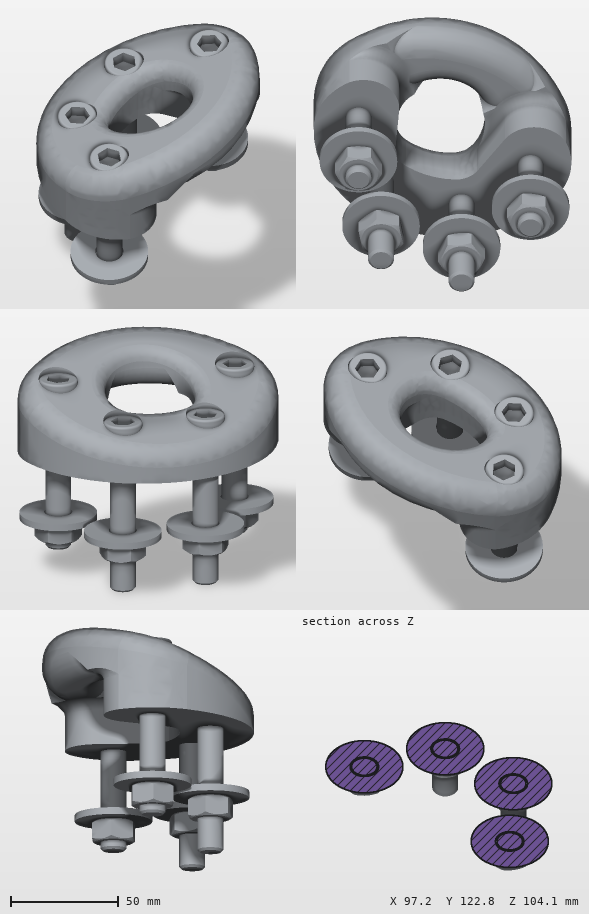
import cadquery as cq
import math

BODY_LENGTH = 97.2
BACK_RADIUS = 63.0
FRONT_RADIUS = 72.8
END_RADIUS = 31.2
TOP_TILT = 20.0
TOP_HEIGHT_AT_BACK = 14.5
OUTER_EDGE_RADIUS = 10.0
BLANK_HEIGHT = 73.6

HOLE_CENTER_X = 49.7
HOLE_RADIUS = 20.7
HOLE_BACK_X = 34.5
HOLE_BACK_RADIUS = 40.5
HOLE_CORNER_RADIUS = 12.3
HOLE_EDGE_RADIUS = 7.0

SLOT_HEIGHT = 21.1
SLOT_FILLET = 4.8
ARM_END_RADIUS = 16.6
ARM_END_X = 62.0
ARM_WALL_ANGLE = 15.0
ARM_OUTER_ANGLE = 48.0
SLOT_FRONT_X = BODY_LENGTH + 12.3
SLOT_RUN_OUT = 7.4

LIP_RADIUS = 10.7
LIP_BACK_X = 61.4
LIP_TOP_HALF_WIDTHS = (8.6, 35.8)
LIP_BOTTOM_HALF_WIDTHS = (16.6, 60.1)

HEAD_DIAMETER = 18.0
HEAD_HEIGHT = 12.0
HEAD_EDGE_RADIUS = 1.1
COUNTERBORE_DIAMETER = 18.2
SHANK_DIAMETER = 12.0
SHANK_LENGTH = 70.2
SHANK_CHAMFER = 1.1
SOCKET_WIDTH = 10.0
SOCKET_DEPTH = 6.0
SOCKET_TIP_DEPTH = 1.8
WASHER_DIAMETER = 36.0
WASHER_HOLE_DIAMETER = 13.0
WASHER_THICKNESS = 3.2
WASHER_TOP_Z = -29.8
NUT_WIDTH = 19.0
NUT_HEIGHT = 9.8
NUT_CHAMFER_HEIGHT = 1.3
NUT_FACE_DIAMETER = 18.0

BOLTS = (
    (23.4, 19.8, 23.7, 8.0, 5.0),
    (23.4, -19.8, 23.7, 30.0, 30.0),
    (55.8, 42.2, 35.5, 38.0, 20.0),
    (55.8, -42.2, 35.5, 12.5, 12.5),
)


def disc(x, y, bottom, diameter, height):
    """Upright cylinder standing on Z = bottom."""
    return cq.Workplane("XY", origin=(x, y, bottom)).circle(diameter / 2).extrude(height)


def hexagon(x, y, bottom, width, height, turn):
    """Upright hexagonal prism, width measured across flats."""
    corner_diameter = width / math.cos(math.radians(30))
    prism = cq.Workplane("XY").polygon(6, corner_diameter).extrude(height)
    return prism.rotate((0, 0, 0), (0, 0, 1), turn).translate((x, y, bottom))


def lens(first_x, first_radius, second_x, second_radius, corner_radius):
    """Column common to two upright cylinders, with its two sharp corners rounded."""
    column = disc(first_x, 0, 0, 2 * first_radius, BLANK_HEIGHT)
    column = column.intersect(disc(second_x, 0, 0, 2 * second_radius, BLANK_HEIGHT))
    return column.edges("|Z").fillet(corner_radius)


def outer_column():
    return lens(BACK_RADIUS, BACK_RADIUS, BODY_LENGTH - FRONT_RADIUS, FRONT_RADIUS, END_RADIUS)


def hole_column():
    return lens(HOLE_CENTER_X, HOLE_RADIUS, HOLE_BACK_X + HOLE_BACK_RADIUS, HOLE_BACK_RADIUS,
                HOLE_CORNER_RADIUS)


def tilted_ring():
    """Ring under the tilted top plane, rounded along its outer and inner top edges."""
    slope = math.tan(math.radians(TOP_TILT))
    front_height = TOP_HEIGHT_AT_BACK + BODY_LENGTH * slope
    wedge = (
        cq.Workplane("XZ")
        .polyline([(0, 0), (BODY_LENGTH, 0), (BODY_LENGTH, front_height), (0, TOP_HEIGHT_AT_BACK)])
        .close()
        .extrude(BODY_LENGTH, both=True)
    )
    top_direction = cq.Vector(-math.sin(math.radians(TOP_TILT)), 0, math.cos(math.radians(TOP_TILT)))
    top_face = cq.selectors.DirectionNthSelector(top_direction, -1)
    plate = outer_column().intersect(wedge)
    plate = plate.faces(top_face).edges().fillet(OUTER_EDGE_RADIUS)
    ring = plate.cut(hole_column())
    return ring.faces(top_face).wires(cq.selectors.LengthNthSelector(0)).fillet(HOLE_EDGE_RADIUS)


def point_around(center_x, center_y, radius, angle):
    turn = math.radians(angle)
    return (center_x + radius * math.cos(turn), center_y + radius * math.sin(turn))


def slot():
    """Opening under the lip. The inner wall of each arm leaves the hole tangentially, runs
    straight and then rounds the end of the arm."""
    wall_turn = math.radians(ARM_WALL_ANGLE)
    wall_side = ARM_WALL_ANGLE - 90
    arm_distance = HOLE_RADIUS + ARM_END_RADIUS + (ARM_END_X - HOLE_CENTER_X) * math.sin(wall_turn)
    arm_center = (ARM_END_X, arm_distance / math.cos(wall_turn))
    wall_start = point_around(HOLE_CENTER_X, 0, HOLE_RADIUS, wall_side + 180)
    wall_end = point_around(*arm_center, ARM_END_RADIUS, wall_side)
    arm_nose = point_around(*arm_center, ARM_END_RADIUS, (wall_side + ARM_OUTER_ANGLE) / 2)
    arm_outside = point_around(*arm_center, ARM_END_RADIUS, ARM_OUTER_ANGLE)
    run_out = point_around(*arm_outside, SLOT_RUN_OUT, ARM_OUTER_ANGLE + 90)

    half = (
        cq.Workplane("XY")
        .moveTo(wall_start[0], 0)
        .lineTo(*wall_start)
        .lineTo(*wall_end)
        .threePointArc(arm_nose, arm_outside)
        .lineTo(*run_out)
        .lineTo(SLOT_FRONT_X, run_out[1])
        .lineTo(SLOT_FRONT_X, 0)
        .close()
        .extrude(SLOT_HEIGHT)
    )
    roof_edges = cq.selectors.BoxSelector(
        (wall_start[0] + 1.2, 1.2, SLOT_HEIGHT - 1.2), (arm_outside[0] + 1.2, run_out[1] - 1.2, SLOT_HEIGHT + 1.2))
    half = half.edges(roof_edges).fillet(SLOT_FILLET)
    return half.union(half.mirror("XZ"))


def lip_relief():
    """Material outside the rounded underside of the lip, between two slanted ends."""
    def outline(plane, half_widths):
        back, front = half_widths
        return plane.polyline([
            (LIP_BACK_X, -back), (SLOT_FRONT_X, -front), (SLOT_FRONT_X, front), (LIP_BACK_X, back),
        ]).close()

    stretch = outline(cq.Workplane("XY", origin=(0, 0, SLOT_HEIGHT)), LIP_BOTTOM_HALF_WIDTHS)
    stretch = outline(stretch.workplane(offset=LIP_RADIUS), LIP_TOP_HALF_WIDTHS).loft(ruled=True)
    rounded_lip = outer_column().cut(hole_column()).translate((0, 0, SLOT_HEIGHT))
    rounded_lip = rounded_lip.faces("<Z").edges().fillet(LIP_RADIUS)
    return stretch.cut(rounded_lip)


def bolt(x, y, head_top, turn):
    """Socket head bolt."""
    seat = head_top - HEAD_HEIGHT
    head = disc(x, y, seat, HEAD_DIAMETER, HEAD_HEIGHT).faces(">Z").edges().fillet(HEAD_EDGE_RADIUS)
    shank = disc(x, y, seat - SHANK_LENGTH, SHANK_DIAMETER, SHANK_LENGTH)
    shank = shank.faces("<Z").chamfer(SHANK_CHAMFER)
    socket_floor = head_top - SOCKET_DEPTH
    socket = hexagon(x, y, socket_floor, SOCKET_WIDTH, SOCKET_DEPTH, turn)
    tip = cq.Solid.makeCone(0, SOCKET_WIDTH / 2, SOCKET_TIP_DEPTH,
                            pnt=cq.Vector(x, y, socket_floor - SOCKET_TIP_DEPTH))
    return head.union(shank).cut(socket).cut(cq.Workplane(tip))


def nut_and_washer(x, y, turn):
    """Large washer with a hexagon nut under it, corners chamfered on both ends of the nut."""
    washer_bottom = WASHER_TOP_Z - WASHER_THICKNESS
    washer = disc(x, y, washer_bottom, WASHER_DIAMETER, WASHER_THICKNESS)
    washer = washer.cut(disc(x, y, washer_bottom, WASHER_HOLE_DIAMETER, WASHER_THICKNESS))

    nut_bottom = washer_bottom - NUT_HEIGHT
    corner_diameter = NUT_WIDTH / math.cos(math.radians(30))
    chamfer_width = (corner_diameter - NUT_FACE_DIAMETER) / 2
    envelope = disc(x, y, nut_bottom, corner_diameter, NUT_HEIGHT)
    envelope = envelope.faces("<Z or >Z").edges().chamfer(NUT_CHAMFER_HEIGHT, chamfer_width)
    nut = hexagon(x, y, nut_bottom, NUT_WIDTH, NUT_HEIGHT, turn).intersect(envelope)
    return washer.union(nut)


result = tilted_ring().cut(slot()).cut(lip_relief())
for bolt_x, bolt_y, head_top_z, socket_turn, nut_turn in BOLTS:
    counterbore_floor = head_top_z - HEAD_HEIGHT
    result = result.cut(disc(bolt_x, bolt_y, counterbore_floor, COUNTERBORE_DIAMETER, BLANK_HEIGHT))
    result = result.union(bolt(bolt_x, bolt_y, head_top_z, socket_turn))
    result = result.union(nut_and_washer(bolt_x, bolt_y, nut_turn))